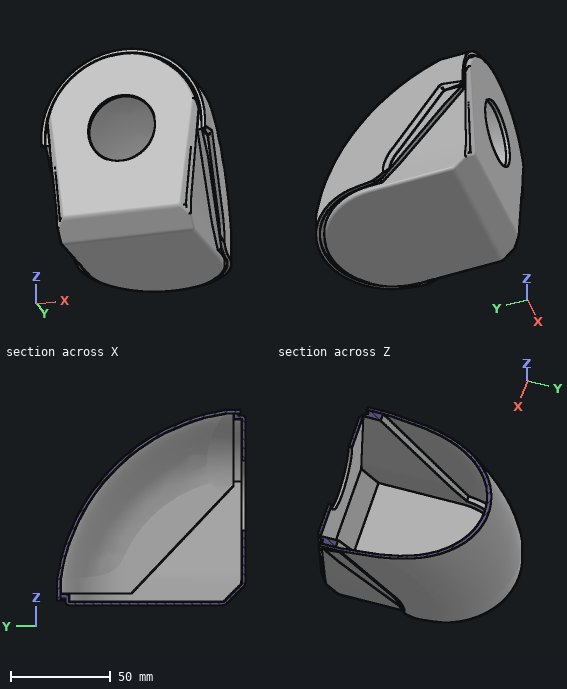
import cadquery as cq
import math

WALL = 2.0
RIM = 2.5
ARCH_R = 43.0
AXIS = 55.0
BACK_Y = 94.5
REAR_R = 38.1
TAPER = math.radians(6.2)
REAR_Y = BACK_Y - REAR_R
CROWN_R = 100.0
CROWN_EXCESS = 1.0
CROWN_RISE = 38.0
HINGE_Y = BACK_Y + CROWN_EXCESS - CROWN_R
HINGE_Z = AXIS + ARCH_R + CROWN_EXCESS - CROWN_R
SECTION_ANGLES = (-10, 15, 40, 65, 100)
SECTION_BASE = 1.0
SHOULDER_MARGIN = 0.1
BASE_MARGIN = 2.0

EDGE_CORNER = (13.1, 51.0)
EDGE_CORNER_R = 3.0
EDGE_KNEE = (38.0, 19.9)
EDGE_BEND = (41.4, 15.4)
EDGE_END = (43.6, 9.1)
FOOT_MID = (48.1, 4.6)
FOOT_END = (53.6, RIM)
EDGE_BEVEL = 2.8
EDGE_BEVEL_DEPTH = 1.9

TRAY_ARCH_R = 40.2
TRAY_HALF = 35.2
SIDE_TOP_Z = 62.0
SIDE_BLEND_LOW = 10.3
SIDE_BLEND_HIGH = 16.7
FACE_HALF = 29.2
FACE_TOP_HALF = 36.8
FLARE_HALF = 34.0
FLARE_DEPTH = 4.0
CORNER_CHAMFER = 10.2
CORNER_R = 3.5
EDGE_R = 1.6
BORE_R = 17.5
PLUG_START = 3.5
PLUG_END = 6.0
PLATE = 2.0
SPLIT_FRONT = (4.65, 49.8)
SPLIT_BACK = (43.2, 9.1)
PLUG_REACH = 8.0
FAR = 120.0


def side_x(y, inset):
    """Half width of the tapered plan at a given Y."""
    return (REAR_R - inset + (REAR_Y - y) * math.sin(TAPER)) / math.cos(TAPER)


def plan_prism(inset, start):
    """Tapered plan with a round rear end, extruded upward."""
    radius = REAR_R - inset
    tangent_x = radius * math.cos(TAPER)
    tangent_y = REAR_Y + radius * math.sin(TAPER)
    front_x = side_x(start, inset)
    return (
        cq.Workplane("XY", origin=(0, 0, start))
        .moveTo(-front_x, start)
        .lineTo(-tangent_x, tangent_y)
        .threePointArc((0, REAR_Y + radius), (tangent_x, tangent_y))
        .lineTo(front_x, start)
        .close()
        .extrude(FAR)
    )


def arch_prism(radius, start):
    """Round-topped front profile, extruded rearward."""
    return (
        cq.Workplane("XZ", origin=(0, start, 0))
        .moveTo(-radius, start)
        .lineTo(-radius, AXIS)
        .threePointArc((0, AXIS + radius), (radius, AXIS))
        .lineTo(radius, start)
        .close()
        .extrude(-FAR)
    )


def elbow_section(angle, inset):
    """Domed section in a plane through the elbow hinge."""
    turn = math.radians(angle)
    crown = CROWN_R - inset
    shoulder = CROWN_R - CROWN_RISE
    half = side_x(HINGE_Y + shoulder * math.cos(turn), inset) + SHOULDER_MARGIN
    base_half = side_x(HINGE_Y + SECTION_BASE * math.cos(turn), inset) + BASE_MARGIN
    plane = cq.Plane(
        origin=(0, HINGE_Y, HINGE_Z),
        xDir=(1, 0, 0),
        normal=(0, -math.sin(turn), math.cos(turn)),
    )
    left = plane.toWorldCoords((-half, shoulder))
    right = plane.toWorldCoords((half, shoulder))
    base_left = plane.toWorldCoords((-base_half, SECTION_BASE))
    base_right = plane.toWorldCoords((base_half, SECTION_BASE))
    dome = cq.Edge.makeEllipse(
        half, crown - shoulder, plane.toWorldCoords((0, shoulder)), plane.zDir, plane.xDir, 0, 180
    )
    sides = [
        cq.Edge.makeLine(left, base_left),
        cq.Edge.makeLine(base_left, base_right),
        cq.Edge.makeLine(base_right, right),
    ]
    return cq.Wire.assembleEdges([dome] + sides)


def elbow_envelope(inset, start):
    """Elbow volume: the swept dome trimmed by the front arch and the plan."""
    sections = [elbow_section(angle, inset) for angle in SECTION_ANGLES]
    dome = cq.Workplane(cq.Solid.makeLoft(sections))
    return arch_prism(ARCH_R - inset, start).intersect(plan_prism(inset, start)).intersect(dome)


def above_split(reach=FAR):
    """Slab of the given thickness above the line on which the tray's sides leave the cover."""
    run = SPLIT_BACK[0] - SPLIT_FRONT[0]
    fall = SPLIT_FRONT[1] - SPLIT_BACK[1]
    slope = cq.Plane(origin=(0, *SPLIT_FRONT), xDir=(1, 0, 0), normal=(0, fall, run))
    return cq.Workplane(slope).rect(2 * FAR, 4 * FAR).extrude(reach)


def edge_outline(plane):
    """Open outline along a side edge, from far in front of the cover to the split line."""
    return (
        cq.Workplane(plane)
        .moveTo(-FAR, EDGE_CORNER[1])
        .lineTo(*EDGE_CORNER)
        .lineTo(*EDGE_KNEE)
        .threePointArc(EDGE_BEND, EDGE_END)
    )


def edge_cutter():
    """Volume removed from both sides of the cover."""
    through = cq.Plane(origin=(-FAR / 2, 0, 0), xDir=(0, 1, 0), normal=(1, 0, 0))
    cutter = (
        edge_outline(through)
        .threePointArc(FOOT_MID, FOOT_END)
        .lineTo(FOOT_END[0], -FAR)
        .lineTo(-FAR, -FAR)
        .close()
        .extrude(FAR)
    )
    corner = cq.selectors.NearestToPointSelector((0, *EDGE_CORNER))
    return cutter.edges(corner).fillet(EDGE_CORNER_R)


def bevel_cutter():
    """Volume that bevels the right side edge, widening outward from inside the wall."""
    side_plane = cq.Plane(
        origin=(side_x(0, EDGE_BEVEL_DEPTH), 0, 0),
        xDir=(-math.sin(TAPER), math.cos(TAPER), 0),
        normal=(math.cos(TAPER), math.sin(TAPER), 0),
    )
    slant = math.degrees(math.atan2(EDGE_BEVEL, EDGE_BEVEL_DEPTH))
    flared = (
        edge_outline(side_plane)
        .lineTo(EDGE_END[0], -FAR)
        .lineTo(-FAR, -FAR)
        .close()
        .extrude(2 * EDGE_BEVEL_DEPTH, taper=-slant)
    )
    return flared.intersect(above_split())


def build_cover():
    """Elbow shell, open at the front and the bottom, with bevelled side edges."""
    bevel = bevel_cutter()
    return (
        elbow_envelope(0, RIM)
        .cut(elbow_envelope(WALL, 0))
        .cut(edge_cutter())
        .cut(bevel)
        .cut(bevel.mirror("YZ"))
    )


def arch_top_x(radius):
    """Half width of the tray where its sloping sides meet the front arch."""
    return math.sqrt(radius ** 2 - (SIDE_TOP_Z - AXIS) ** 2)


def tray_front_prism(inset):
    """Arch over two sloping sides that curve to vertical near the bottom, extruded rearward."""
    radius = TRAY_ARCH_R - inset
    half = TRAY_HALF - inset
    top_x = arch_top_x(radius)
    slope = (top_x - half) / (SIDE_TOP_Z - (SIDE_BLEND_LOW + SIDE_BLEND_HIGH) / 2)
    blend_x = top_x - slope * (SIDE_TOP_Z - SIDE_BLEND_HIGH)
    return (
        cq.Workplane("XZ")
        .moveTo(half, 0)
        .lineTo(half, SIDE_BLEND_LOW)
        .tangentArcPoint((blend_x, SIDE_BLEND_HIGH), relative=False)
        .lineTo(top_x, SIDE_TOP_Z)
        .threePointArc((0, AXIS + radius), (-top_x, SIDE_TOP_Z))
        .lineTo(-blend_x, SIDE_BLEND_HIGH)
        .tangentArcPoint((-half, SIDE_BLEND_LOW), relative=False)
        .lineTo(-half, 0)
        .close()
        .extrude(-FAR)
    )


def flare_cutter():
    """Half space that cuts the slanted strip between the front face and the right side."""
    foot = cq.Vector(FACE_HALF, 0, 0)
    across = cq.Vector(FLARE_HALF - FACE_HALF, FLARE_DEPTH, 0)
    upward = cq.Vector(FACE_TOP_HALF - FACE_HALF, 0, SIDE_TOP_Z)
    plane = cq.Plane(origin=foot.toTuple(), xDir=upward.toTuple(), normal=across.cross(upward).toTuple())
    return cq.Workplane(plane).rect(4 * FAR, 4 * FAR).extrude(FAR)


def tray_plan_prism(inset):
    """Bottom outline of the tray, straight sides and a round rear, extruded upward."""
    straight = cq.Workplane("XY").rect(4 * FAR, 2 * AXIS).extrude(FAR)
    rear = cq.Workplane("XY", origin=(0, AXIS, 0)).circle(TRAY_HALF - inset).extrude(FAR)
    return straight.union(rear)


def lower_front_corner(setback):
    """Sloping half space below and in front of the tray's lower front corner."""
    plane = cq.Plane(origin=(0, setback, 0), xDir=(1, 0, 0), normal=(0, -1, -1))
    return cq.Workplane(plane).rect(4 * FAR, 4 * FAR).extrude(FAR)


def tray_block():
    """Tray body before hollowing, with its lower front corner and outer edges rounded."""
    flare = flare_cutter()
    corner_edges = cq.selectors.BoxSelector((-1, -1, -1), (1, 2 * CORNER_CHAMFER, 2 * CORNER_CHAMFER))
    block = (
        tray_front_prism(0)
        .intersect(tray_plan_prism(0))
        .cut(lower_front_corner(CORNER_CHAMFER))
        .edges(corner_edges)
        .fillet(CORNER_R)
        .cut(flare)
        .cut(flare.mirror("YZ"))
    )
    return block.faces("<Y or <Z").edges().fillet(EDGE_R)


def quadrant(start):
    """All of the space behind and above a given distance from the front and bottom planes."""
    above = cq.Workplane("XY", origin=(0, 0, start)).rect(4 * FAR, 4 * FAR).extrude(FAR)
    behind = cq.Workplane("XZ", origin=(0, start, 0)).rect(4 * FAR, 4 * FAR).extrude(-FAR)
    return above.intersect(behind)


def build_tray():
    """Hollow tray that closes the front and the bottom of the cover and plugs into it."""
    upper_side = above_split()
    exposed = tray_block().cut(quadrant(PLUG_START).intersect(upper_side))
    plug_core = quadrant(PLUG_END).intersect(upper_side.cut(above_split(PLUG_REACH)))
    plug = elbow_envelope(WALL, PLUG_START).intersect(upper_side).cut(plug_core)
    cavity = (
        tray_front_prism(PLATE)
        .intersect(tray_plan_prism(PLATE))
        .intersect(elbow_envelope(2 * WALL, PLATE))
        .cut(lower_front_corner(CORNER_CHAMFER + PLATE * math.sqrt(2)))
    )
    bore = cq.Workplane("XZ", origin=(0, 0, AXIS)).circle(BORE_R).extrude(-PLUG_END)
    return exposed.union(plug).cut(cavity).cut(bore)


cover = build_cover()
tray = build_tray()
result = cq.Compound.makeCompound([*cover.solids().vals(), *tray.solids().vals()])